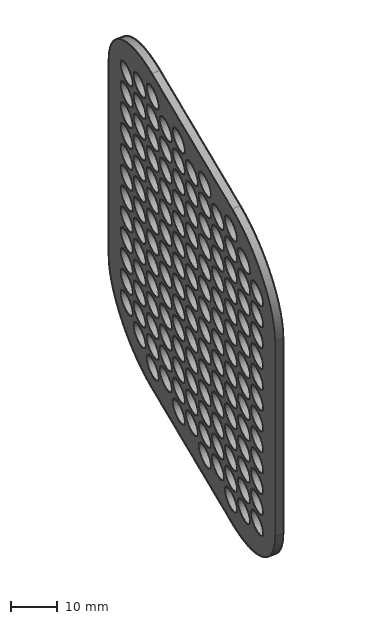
import cadquery as cq
import math

plate_width = 83.0
plate_height = 113.0
plate_thickness = 2.0
corner_radius = 21.5

hole_diameter = 6.0
hole_pitch = 7.5
column_spacing = hole_pitch * math.sin(math.radians(60))
outer_column = 5
even_column_holes = 13
odd_column_holes = even_column_holes + 1
outer_column_holes = odd_column_holes - 2


def holes_in_column(column):
    """Number of holes in a column, counted outward from the middle column 0."""
    if abs(column) == outer_column:
        return outer_column_holes
    if column % 2 == 0:
        return even_column_holes
    return odd_column_holes


def hole_centers():
    """Centers of all holes, each column centered on the plate's mid-height."""
    centers = []
    for column in range(-outer_column, outer_column + 1):
        count = holes_in_column(column)
        lowest = -hole_pitch * (count - 1) / 2
        for row in range(count):
            centers.append((column * column_spacing, lowest + row * hole_pitch))
    return centers


def make_plate():
    """Upright plate, centered on the origin, with rounded corners."""
    plate = cq.Workplane("XY").box(plate_width, plate_thickness, plate_height)
    return plate.edges("|Y").fillet(corner_radius)


def make_hole_cutters():
    """Cylinders that pass through the plate's thickness at every hole center."""
    return (
        cq.Workplane("XZ", origin=(0, plate_thickness / 2, 0))
        .pushPoints(hole_centers())
        .circle(hole_diameter / 2)
        .extrude(plate_thickness)
    )


result = make_plate().cut(make_hole_cutters())